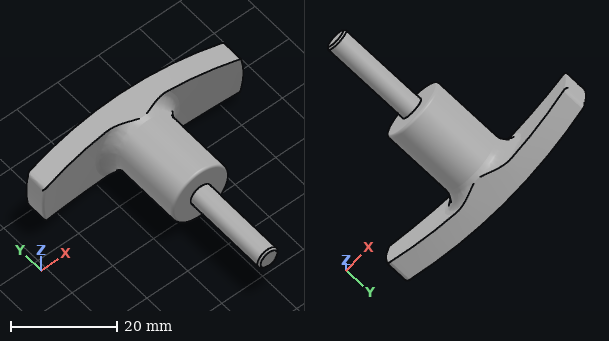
import cadquery as cq

grip_length = 49.45
grip_thickness = 5.05
grip_height = 14.4
end_height = 10.0
bow_drop = 2.15
end_bulge = 0.6
end_corner_radius = 1.15
end_edge_radius = 0.45

hub_diameter = 14.0
hub_end = -23.9
hub_edge_radius = 0.6
blend_radius = 3.1

pin_diameter = 5.0
pin_end = -43.9
pin_chamfer = 0.45

half_length = grip_length / 2
mid_grip = -grip_thickness / 2


def barrel_outline():
    """Barrel-shaped outline of the grip, extruded along Y past its bowed ends."""
    corner_x = half_length - end_bulge
    corner_z = end_height / 2
    crown_z = grip_height / 2
    return (
        cq.Workplane("XZ")
        .moveTo(-corner_x, corner_z)
        .threePointArc((0, crown_z), (corner_x, corner_z))
        .threePointArc((half_length, 0), (corner_x, -corner_z))
        .threePointArc((0, -crown_z), (-corner_x, -corner_z))
        .threePointArc((-half_length, 0), (-corner_x, corner_z))
        .close()
        .extrude(-hub_end)
    )


def bowed_bar():
    """Oversized bar between two concentric arcs, not yet trimmed to the outline."""
    outer_radius = (half_length**2 + bow_drop**2) / (2 * bow_drop)
    inner_radius = outer_radius - grip_thickness
    reach = grip_length
    outer_drop = outer_radius - (outer_radius**2 - reach**2) ** 0.5
    inner_drop = outer_radius - (inner_radius**2 - reach**2) ** 0.5
    return (
        cq.Workplane("XY")
        .moveTo(-reach, -outer_drop)
        .threePointArc((0, 0), (reach, -outer_drop))
        .lineTo(reach, -inner_drop)
        .threePointArc((0, -grip_thickness), (-reach, -inner_drop))
        .close()
        .extrude(grip_height, both=True)
    )


def cylinder(diameter, start, end):
    """Cylinder along Y, running towards -Y."""
    return cq.Workplane("XZ", origin=(0, start, 0)).circle(diameter / 2).extrude(start - end)


hub = cylinder(hub_diameter, mid_grip, hub_end).faces("<Y").edges().fillet(hub_edge_radius)
hub_root = cq.selectors.BoxSelector(
    (-hub_diameter, -grip_thickness - bow_drop, -hub_diameter),
    (hub_diameter, mid_grip, hub_diameter),
)
blended = bowed_bar().union(hub).edges(hub_root).fillet(blend_radius)
outline = barrel_outline()
body = blended.intersect(outline)

for end_face in ("<X", ">X"):
    body = body.faces(end_face).edges("not |Y").fillet(end_edge_radius)
body = body.intersect(outline.edges("|Y").fillet(end_corner_radius))

pin = cylinder(pin_diameter, mid_grip, pin_end).faces("<Y").chamfer(pin_chamfer)
result = body.union(pin)